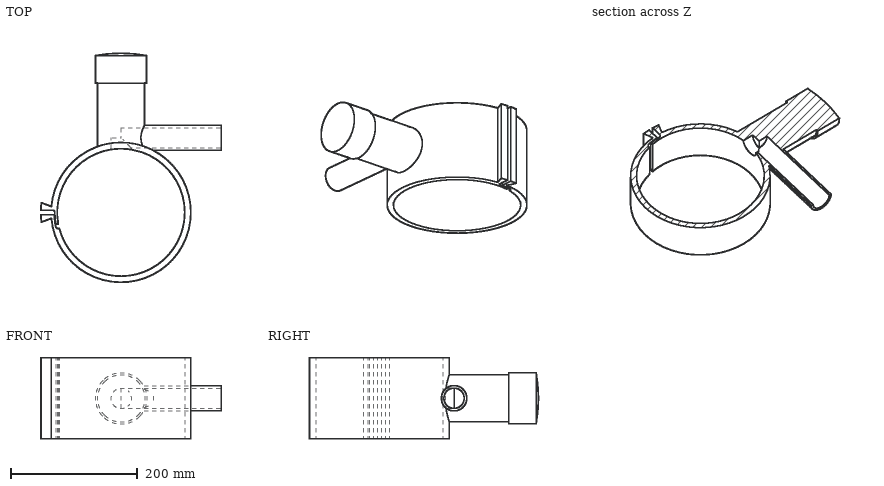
import cadquery as cq
import math

ring_height = 128.0
inner_radius = 100.25
wall = 10.0
outer_radius = inner_radius + wall

lug_tip_radius = outer_radius + 16.25
lug_root_half_width = 9.6
lug_tip_half_width = 15.5
slot_half_width = 3.3
slot_fillet = 3.3
tongue_radius = 104.5
tongue_end_y = -18.3
groove_clearance = 0.5
groove_radius = tongue_radius + groove_clearance
groove_end_angle = 14.4
groove_fillet = 3.5
lip_fillet = 1.0

branch_diameter = 74.5
socket_diameter = 81.0
socket_start_y = 203.7
socket_end_y = 247.25
dome_height = 3.78

side_diameter = 40.0
side_axis_y = 117.75
side_end_x = 158.0

passage_diameter = 32.0


def x_on_circle(radius, y):
    """X of the point at height y on the -X half of a circle about the origin."""
    return -math.sqrt(radius**2 - y**2)


def bottom_plane():
    return cq.Workplane("XY", origin=(0, 0, -ring_height / 2))


def disc(radius):
    return bottom_plane().circle(radius).extrude(ring_height)


def edge_near(x, y):
    """Selector for the upright edge closest to the point (x, y)."""
    return cq.selectors.NearestToPointSelector((x, y, 0))


def pipe_along_y(diameter, start_y, end_y):
    return (
        cq.Workplane("XZ", origin=(0, start_y, 0))
        .circle(diameter / 2)
        .extrude(start_y - end_y)
    )


def pipe_along_x(diameter, start_x, end_x):
    return (
        cq.Workplane("YZ", origin=(start_x, side_axis_y, 0))
        .circle(diameter / 2)
        .extrude(end_x - start_x)
    )


def make_lugs():
    """Both lugs as one flared block with a tip that follows the ring's curvature."""
    root_x = x_on_circle(outer_radius, lug_root_half_width)
    tip_x = x_on_circle(lug_tip_radius, lug_tip_half_width)
    base_x = -(outer_radius + groove_radius) / 2
    return (
        bottom_plane()
        .moveTo(base_x, lug_root_half_width)
        .lineTo(root_x, lug_root_half_width)
        .lineTo(tip_x, lug_tip_half_width)
        .threePointArc((-lug_tip_radius, 0), (tip_x, -lug_tip_half_width))
        .lineTo(root_x, -lug_root_half_width)
        .lineTo(base_x, -lug_root_half_width)
        .close()
        .extrude(ring_height)
    )


def make_slot():
    """Gap between the lugs, stopping at the tongue, with one rounded inner corner."""
    outside_x = -lug_tip_radius - wall
    end_x = x_on_circle(tongue_radius, slot_half_width)
    slot = (
        bottom_plane()
        .moveTo(outside_x, slot_half_width)
        .lineTo(end_x, slot_half_width)
        .threePointArc((-tongue_radius, 0), (end_x, -slot_half_width))
        .lineTo(outside_x, -slot_half_width)
        .close()
        .extrude(ring_height)
    )
    return slot.edges("|Z").edges(edge_near(end_x, slot_half_width)).fillet(slot_fillet)


def make_groove():
    """Recess in the inner wall that receives the tongue."""
    angle = math.radians(groove_end_angle)
    end_direction = (-math.cos(angle), -math.sin(angle))
    inside_radius = inner_radius - wall
    start_outer_x = x_on_circle(groove_radius, -slot_half_width)
    end_outer = (groove_radius * end_direction[0], groove_radius * end_direction[1])
    end_inner = (inside_radius * end_direction[0], inside_radius * end_direction[1])
    middle_y = -groove_radius * math.sin(angle / 2)
    groove = (
        bottom_plane()
        .moveTo(-inside_radius, -slot_half_width)
        .lineTo(start_outer_x, -slot_half_width)
        .threePointArc((x_on_circle(groove_radius, middle_y), middle_y), end_outer)
        .lineTo(*end_inner)
        .close()
        .extrude(ring_height)
    )
    return groove.edges("|Z").edges(edge_near(*end_outer)).fillet(groove_fillet)


def make_tongue():
    """Room kept free of the groove cut, so that the tongue of the upper lug remains."""
    length = slot_half_width - tongue_end_y
    window = (
        bottom_plane()
        .center(-inner_radius, tongue_end_y + length / 2)
        .rect(2 * wall, length)
        .extrude(ring_height)
    )
    return disc(tongue_radius).intersect(window)


def make_dome():
    """Spherical cap closing the socket."""
    rim_radius = socket_diameter / 2
    sphere_radius = (rim_radius**2 + dome_height**2) / (2 * dome_height)
    centre_y = socket_end_y + dome_height - sphere_radius
    sphere = cq.Workplane("XY").sphere(sphere_radius).translate((0, centre_y, 0))
    return pipe_along_y(socket_diameter, socket_end_y, socket_end_y + wall).intersect(sphere)


def make_pipes():
    branch = pipe_along_y(branch_diameter, 0, socket_end_y)
    socket = pipe_along_y(socket_diameter, socket_start_y, socket_end_y)
    side = pipe_along_x(side_diameter, 0, side_end_x)
    return branch.union(socket).union(make_dome()).union(side)


def make_passage():
    inlet = pipe_along_y(passage_diameter, 0, side_axis_y)
    outlet = pipe_along_x(passage_diameter, 0, side_end_x)
    return inlet.union(outlet)


def make_body():
    """Ring, lugs and pipes, bored out, with the closure opened."""
    solid = disc(outer_radius).union(make_lugs()).union(make_pipes())
    gap = make_groove().cut(make_tongue())
    body = solid.cut(disc(inner_radius)).cut(make_slot()).cut(gap)
    lip = edge_near(x_on_circle(groove_radius, -slot_half_width), -slot_half_width)
    return body.edges("|Z").edges(lip).fillet(lip_fillet)


result = make_body().cut(make_passage())